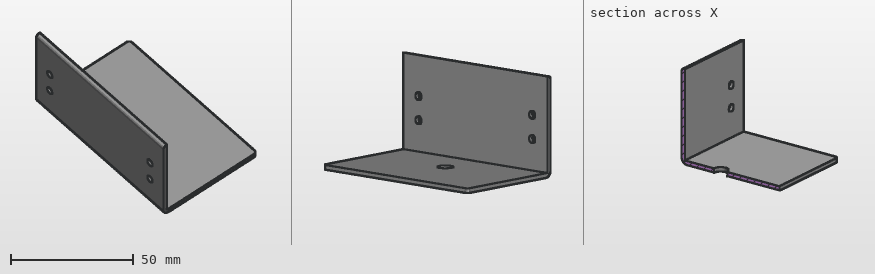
import cadquery as cq

width = 80.0
depth = 50.0
height = 42.0
thickness = 2.0

bend_radius = 3.0
top_edge_radius = 1.5
corner_radius = 1.5

wall_hole_diameter = 3.2
wall_hole_spacing_x = 63.0
wall_hole_spacing_z = 10.0
wall_hole_centre_height = 20.0

base_hole_diameter = 6.5
base_hole_from_wall_face = 20.0


def make_bracket():
    """L-shaped sheet, centred on X, with the wall's outer face at Y = 0."""
    base = cq.Workplane("XY").box(width, depth, thickness, centered=(True, False, False))
    wall = cq.Workplane("XY").box(width, thickness, height, centered=(True, False, False))
    return base.union(wall)


def round_edges(bracket):
    """Round the outer bend, the wall's top front edge and the base's far corners."""
    bracket = bracket.faces("<Y").edges("<Z").fillet(bend_radius)
    bracket = bracket.faces("<Y").edges(">Z").fillet(top_edge_radius)
    return bracket.faces(">Y").edges("|Z").fillet(corner_radius)


def make_wall_holes():
    """Cutters through the wall along Y."""
    return (
        cq.Workplane("XZ", origin=(0, thickness, wall_hole_centre_height))
        .rarray(wall_hole_spacing_x, wall_hole_spacing_z, 2, 2)
        .circle(wall_hole_diameter / 2)
        .extrude(thickness)
    )


def make_base_hole():
    """Cutter through the base along Z, on the bracket's centre line."""
    return (
        cq.Workplane("XY", origin=(0, base_hole_from_wall_face, 0))
        .circle(base_hole_diameter / 2)
        .extrude(thickness)
    )


result = round_edges(make_bracket()).cut(make_wall_holes()).cut(make_base_hole())